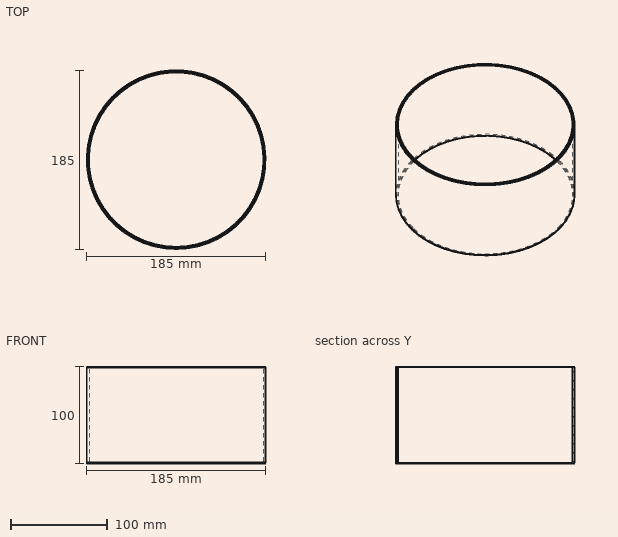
import cadquery as cq

outer_diameter = 185.0
wall_thickness = 2.42
height = 100.0

outer_chamfer_width = 0.44
outer_chamfer_height = 1.2

inner_chamfer = 0.6

outer_radius = outer_diameter / 2
inner_radius = outer_radius - wall_thickness
rim_outer_radius = outer_radius - outer_chamfer_width
rim_inner_radius = inner_radius + inner_chamfer


def wall_section():
    """Closed section of the sleeve wall at -Y, chamfered at both end rims."""
    return (
        cq.Workplane("YZ")
        .moveTo(-inner_radius, inner_chamfer)
        .lineTo(-rim_inner_radius, 0)
        .lineTo(-rim_outer_radius, 0)
        .lineTo(-outer_radius, outer_chamfer_height)
        .lineTo(-outer_radius, height - outer_chamfer_height)
        .lineTo(-rim_outer_radius, height)
        .lineTo(-rim_inner_radius, height)
        .lineTo(-inner_radius, height - inner_chamfer)
        .close()
    )


def sleeve():
    """Thin open sleeve, centred on Z and standing on the XY plane."""
    return wall_section().revolve(360, (0, 0, 0), (0, 1, 0))


result = sleeve()